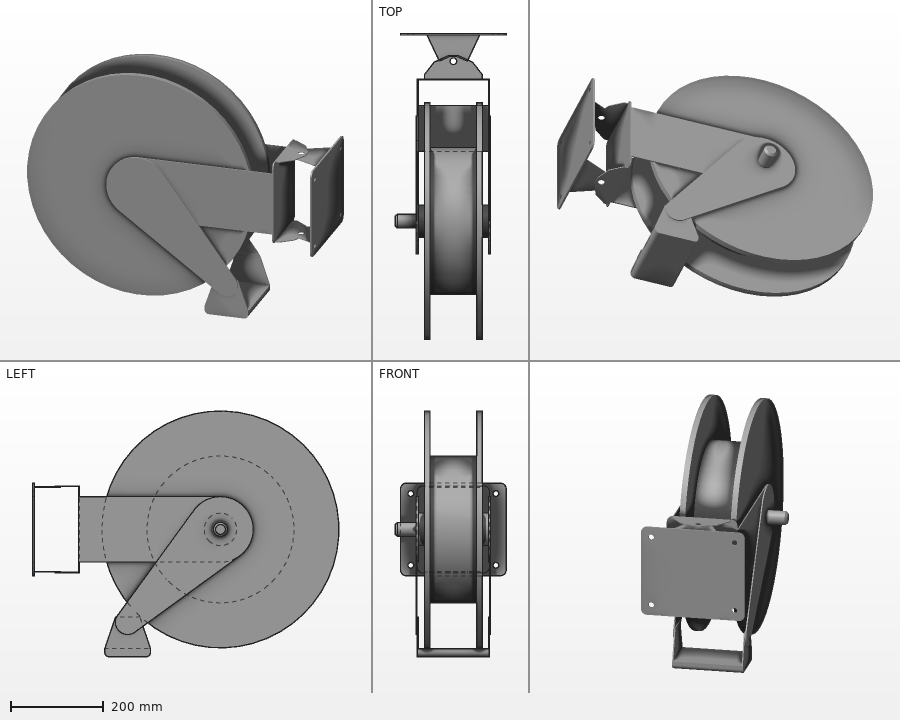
import cadquery as cq
import math


flange_diameter = 510.0
drum_diameter = 316.0
hub_diameter = 70.0
shaft_diameter = 30.0
shaft_chamfer = 4.5
shaft_end_x = -125.0
reel_half_width = 62.5
drum_half_width = 50.0

sheet = 2.5
swivel_sheet = 2.0
yoke_half_width = 78.0
yoke_inner_x = yoke_half_width - sheet
arm_radius = 70.5

wall_y = 404.0
wall_thickness = 4.0
wall_width = 228.0
wall_height = 200.0
wall_corner_radius = 13.0
bolt_diameter = 12.0
bolt_spacing_x = 183.0
bolt_spacing_z = 154.0

yoke_back_y = 306.0
yoke_height = 188.0
yoke_corner_radius = 13.0
ear_base_half_width = 62.5
ear_shoulder_half_width = 41.5
ear_tip_half_width = 10.0
ear_side_length = 9.0
ear_shoulder_length = 36.0
ear_length = 51.0
pivot_y = 344.0
pivot_diameter = 14.0
lug_root_half_width = 57.0
lug_tip_half_width = 30.0
lug_notch_half_width = 6.5
lug_notch_y = 354.5

guide_offset = 200.0
guide_arm_tip_radius = 26.5
guide_bottom_z = -274.0
guide_height = 85.5
guide_top_half_width = 26.5
guide_half_length = 49.5
guide_bar_height = 18.0
guide_corner_radius = 10.0


def cylinder_x(diameter, x_start, x_end):
    """Cylinder on the reel axis."""
    return cq.Workplane("YZ", origin=(x_start, 0, 0)).circle(diameter / 2).extrude(x_end - x_start)


def sheet_yz(sketch_x):
    """Sketch plane for a sheet lying across X, starting at the given X."""
    return cq.Workplane("YZ", origin=(sketch_x, 0, 0))


def both_sides(part, plane):
    """The part together with its mirror image."""
    return part.union(part.mirror(plane))


def make_reel():
    reel = cylinder_x(drum_diameter, -drum_half_width, drum_half_width)
    flange = cylinder_x(flange_diameter, drum_half_width, reel_half_width)
    hub = cylinder_x(hub_diameter, reel_half_width, yoke_inner_x)
    shaft = cylinder_x(shaft_diameter, shaft_end_x, yoke_half_width)
    shaft = shaft.faces("<X").chamfer(shaft_chamfer)
    return reel.union(both_sides(flange.union(hub), "YZ")).union(shaft)


def make_wall_plate():
    plate = (
        cq.Workplane("XZ", origin=(0, wall_y, 0))
        .rect(wall_width, wall_height)
        .extrude(wall_thickness)
        .edges("|Y")
        .fillet(wall_corner_radius)
    )
    bolt_holes = (
        cq.Workplane("XZ", origin=(0, wall_y, 0))
        .rect(bolt_spacing_x, bolt_spacing_z, forConstruction=True)
        .vertices()
        .circle(bolt_diameter / 2)
        .extrude(wall_thickness)
    )
    return plate.cut(bolt_holes)


def make_swivel():
    """Tapered wall lugs, notched clear of the pivot holes in the yoke ears that overlap them."""
    ear_top_z = yoke_height / 2
    ear_bottom_z = ear_top_z - swivel_sheet
    lug_root_y = wall_y - wall_thickness
    ear_points = [
        (ear_base_half_width, yoke_back_y - sheet),
        (ear_base_half_width, yoke_back_y + ear_side_length),
        (ear_shoulder_half_width, yoke_back_y + ear_shoulder_length),
        (ear_tip_half_width, yoke_back_y + ear_length),
    ]
    lug_points = [
        (lug_root_half_width, lug_root_y),
        (lug_tip_half_width, pivot_y),
        (lug_notch_half_width, lug_notch_y),
    ]

    def symmetric_sheet(points, bottom_z):
        outline = points + [(-x, y) for x, y in reversed(points)]
        return cq.Workplane("XY", origin=(0, 0, bottom_z)).polyline(outline).close().extrude(swivel_sheet)

    ear = symmetric_sheet(ear_points, ear_bottom_z)
    lug = symmetric_sheet(lug_points, ear_bottom_z - swivel_sheet)
    pivot_hole = (
        cq.Workplane("XY", origin=(0, pivot_y, ear_bottom_z))
        .circle(pivot_diameter / 2)
        .extrude(swivel_sheet)
    )
    return both_sides(ear.cut(pivot_hole).union(lug), "XY")


def make_yoke():
    """Back plate with two round-ended arms that carry the shaft."""
    back = (
        cq.Workplane("XZ", origin=(0, yoke_back_y, 0))
        .rect(2 * yoke_half_width, yoke_height)
        .extrude(sheet)
        .edges("|Y")
        .fillet(yoke_corner_radius)
    )
    arm = (
        sheet_yz(yoke_inner_x)
        .moveTo(yoke_back_y, arm_radius)
        .lineTo(0, arm_radius)
        .threePointArc((-arm_radius, 0), (0, -arm_radius))
        .lineTo(yoke_back_y, -arm_radius)
        .close()
        .extrude(sheet)
    )
    return back.union(both_sides(arm, "YZ"))


def make_guide_arms():
    """Tapered arms outside the yoke: a large and a small round end joined by tangent lines."""
    center_distance = guide_offset * math.sqrt(2)
    arm_direction = math.radians(-45)
    tangent_turn = math.acos((arm_radius - guide_arm_tip_radius) / center_distance)

    def on_big_end(angle):
        return arm_radius * math.cos(angle), arm_radius * math.sin(angle)

    def on_tip(angle):
        return (
            guide_offset + guide_arm_tip_radius * math.cos(angle),
            -guide_offset + guide_arm_tip_radius * math.sin(angle),
        )

    upper = arm_direction + tangent_turn
    lower = arm_direction - tangent_turn
    arm = (
        sheet_yz(yoke_half_width)
        .moveTo(*on_big_end(upper))
        .lineTo(*on_tip(upper))
        .threePointArc(on_tip(arm_direction), on_tip(lower))
        .lineTo(*on_big_end(lower))
        .threePointArc(on_big_end(arm_direction + math.pi), on_big_end(upper))
        .close()
        .extrude(sheet)
    )
    return both_sides(arm, "YZ")


def make_hose_guide():
    """Rounded-corner bar between two tapered end plates."""
    guide_top_z = guide_bottom_z + guide_height
    shoulder_z = guide_bottom_z + guide_bar_height
    end_plate = (
        sheet_yz(yoke_inner_x)
        .polyline([
            (guide_offset - guide_half_length, guide_bottom_z),
            (guide_offset + guide_half_length, guide_bottom_z),
            (guide_offset + guide_half_length, shoulder_z),
            (guide_offset + guide_top_half_width, guide_top_z),
            (guide_offset - guide_top_half_width, guide_top_z),
            (guide_offset - guide_half_length, shoulder_z),
        ])
        .close()
        .extrude(sheet)
        .edges("|X and <Z")
        .fillet(guide_corner_radius)
    )
    bar = (
        cq.Workplane("XY", origin=(0, guide_offset, guide_bottom_z))
        .rect(2 * yoke_inner_x, 2 * guide_half_length)
        .extrude(guide_bar_height)
        .edges("|X and <Z")
        .fillet(guide_corner_radius)
    )
    return bar.union(both_sides(end_plate, "YZ"))


result = (
    make_reel()
    .union(make_wall_plate())
    .union(make_swivel())
    .union(make_yoke())
    .union(make_guide_arms())
    .union(make_hose_guide())
)